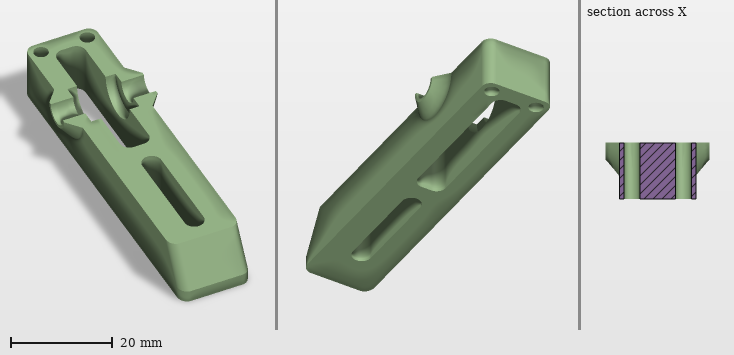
import cadquery as cq
import math

length = 71.1
body_width = 15.2
height = 11.0
corner_radius = 2.0
nose_height = 2.55
nose_run = 5.05

pivot_x = 20.1
boss_span = 20.35
boss_base_radius = 6.4
boss_tip_radius = 3.35
bore_radius = 2.7
recess_radius = 5.4
recess_span = 10.5

window_start = 3.7
window_end = 36.05
window_width = 6.25
slot_start = 39.8
slot_end = 63.0
slot_width = 4.1
pin_hole_diameter = 3.05
pin_hole_x = 2.5
pin_hole_spacing = 10.1


def make_body():
    """Long block with a sloped nose and rounded corners at both ends."""
    nose_rise = height - nose_height
    slope_foot = length + nose_run * nose_height / nose_rise
    slanted_profile = [
        (0, 0),
        (slope_foot, 0),
        (length - nose_run, height),
        (0, height),
    ]
    slanted = cq.Workplane("XZ").polyline(slanted_profile).close().extrude(body_width / 2, both=True)
    slanted = slanted.edges("not (|X or |Y)").fillet(corner_radius)

    corner_length = corner_radius * math.hypot(nose_run, nose_rise) / nose_rise
    half_width = body_width / 2
    upright = (
        cq.Workplane("XY")
        .moveTo(0, -half_width)
        .lineTo(length - corner_length, -half_width)
        .ellipseArc(corner_length, corner_radius, 270, 360, startAtCurrent=True)
        .lineTo(length, half_width - corner_radius)
        .ellipseArc(corner_length, corner_radius, 0, 90, startAtCurrent=True)
        .lineTo(0, half_width)
        .close()
        .extrude(height)
    )
    return slanted.intersect(upright)


def pivot_cylinder(radius, span):
    """Cylinder about the pivot axis, centred on the midplane."""
    return (
        cq.Workplane("XZ")
        .center(pivot_x, height)
        .circle(radius)
        .extrude(span / 2, both=True)
    )


def make_bosses():
    """Half cones that carry the pivot seat out beyond both sides."""
    section = [
        (pivot_x, -boss_span / 2),
        (pivot_x + boss_tip_radius, -boss_span / 2),
        (pivot_x + boss_base_radius, -body_width / 2),
        (pivot_x + boss_base_radius, body_width / 2),
        (pivot_x + boss_tip_radius, boss_span / 2),
        (pivot_x, boss_span / 2),
    ]
    return (
        cq.Workplane("XY", origin=(0, 0, height))
        .polyline(section)
        .close()
        .revolve(180, (pivot_x, 0), (pivot_x, 1))
    )


def through_opening(start, end, width, radius=None):
    """Cutter for a rounded opening; full round ends when no radius is given."""
    outline = cq.Workplane("XY").center((start + end) / 2, 0)
    if radius is None:
        return outline.slot2D(end - start, width).extrude(height)
    return outline.rect(end - start, width).extrude(height).edges("|Z").fillet(radius)


pin_holes = (
    cq.Workplane("XY")
    .pushPoints([(pin_hole_x, side * pin_hole_spacing / 2) for side in (-1, 1)])
    .circle(pin_hole_diameter / 2)
    .extrude(height)
)

result = (
    make_body()
    .union(make_bosses())
    .cut(pivot_cylinder(bore_radius, boss_span))
    .cut(pivot_cylinder(recess_radius, recess_span))
    .cut(through_opening(window_start, window_end, window_width, corner_radius))
    .cut(through_opening(slot_start, slot_end, slot_width))
    .cut(pin_holes)
)